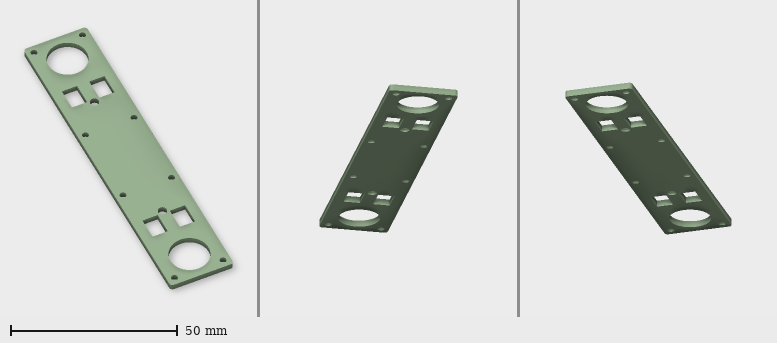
import cadquery as cq

length = 103.3
width = 21.0
thickness = 2.0
corner_radius = 1.0

opening_diameter = 12.6
opening_x = 42.7

screw_diameter = 2.1
screw_y = 8.1
outer_screw_x = 49.2
inner_screw_x = 13.1

center_hole_diameter = 2.8
center_hole_x = 23.8

window_length = 7.0
window_width = 5.1
window_x = 28.2
window_y = 4.5


def mirrored(x, y):
    """Return the four positions at +/-x, +/-y."""
    return [(sx * x, sy * y) for sx in (-1, 1) for sy in (-1, 1)]


def cutter(sketch):
    """Extrude a sketch through the full plate thickness."""
    return sketch.extrude(thickness)


def round_cutter(points, diameter):
    return cutter(cq.Workplane("XY").pushPoints(points).circle(diameter / 2))


def window_cutter():
    points = mirrored(window_x, window_y)
    return cutter(cq.Workplane("XY").pushPoints(points).rect(window_length, window_width))


plate = (
    cq.Workplane("XY")
    .box(length, width, thickness, centered=(True, True, False))
    .edges("|Z")
    .fillet(corner_radius)
)

screw_points = mirrored(outer_screw_x, screw_y) + mirrored(inner_screw_x, screw_y)

result = (
    plate
    .cut(round_cutter([(-opening_x, 0), (opening_x, 0)], opening_diameter))
    .cut(round_cutter([(-center_hole_x, 0), (center_hole_x, 0)], center_hole_diameter))
    .cut(round_cutter(screw_points, screw_diameter))
    .cut(window_cutter())
)